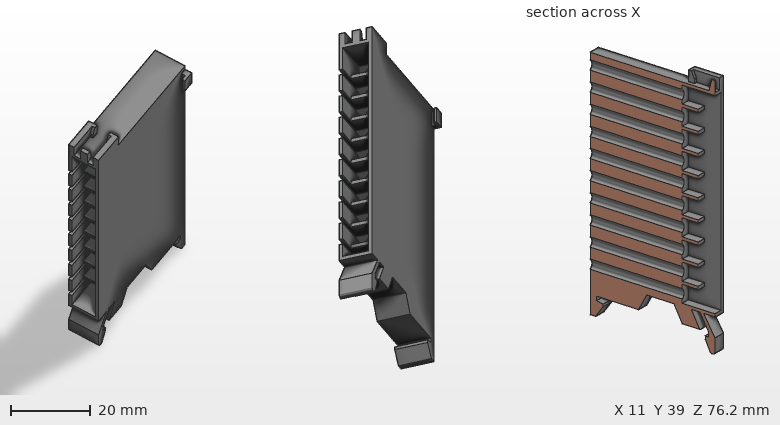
import cadquery as cq
import math

height = 76.2
depth = 39.0
width = 9.0
wall = 1.0

body_bottom = 10.5
rail_foot_bottom = 5.7
cheek_height = 3.3
shelf_top = height - cheek_height

cell_count = 10
pocket_top = shelf_top - wall
pocket_bottom = body_bottom + wall
cell_depth = 10.2
rib_thickness = 1.0
rib_setback = 5.2
cell_pitch = (pocket_top - pocket_bottom + rib_thickness) / cell_count
cell_height = cell_pitch - rib_thickness
hole_diameter = 3.4
slot_height = 1.5

cheek_depth = 9.0
cheek_thickness = 1.65
lip_reach = 0.85
lip_front_top = 8.1
lip_front_bottom = 7.2
lip_slope_drop = 2.15
prong_start = 3.55
prong_end = 5.65
prong_thickness = 1.1
prong_base = 2.0

latch_reach = 2.0
latch_top = 71.5
latch_bottom = 67.4
latch_arm = 1.65
latch_length = 3.1
latch_finger = 0.9
latch_chamfer = 0.3
recess_height = 5.0
recess_top = pocket_top
recess_bottom = recess_top - recess_height

hook_inner = 36.9
hook_tip = 34.9
hook_toe = 37.3
hook_tip_low = 3.4
hook_tip_high = 4.15
hook_throat = 4.6
rear_foot_end = 23.9
rail_gap_rear = 21.3
rail_gap_front = 12.9
front_foot_rear = 10.3
front_foot_end = 4.7
front_foot_root = 7.3
spring_root_rear = 4.8
spring_root_front = 3.5
spring_neck = 2.1
spring_neck_top = 5.8
spring_catch = 3.1
spring_catch_top = 4.5
spring_catch_low = 3.4
spring_bend = 4.8
spring_toe_radius = 0.9


def box(x0, x1, y0, y1, z0, z1):
    """Block between the given limits on each axis."""
    return cq.Workplane("XY").box(x1 - x0, y1 - y0, z1 - z0, centered=False).translate((x0, y0, z0))


def extrude_yz(points, x0, x1):
    """Prism along X with the given (Y, Z) outline."""
    return cq.Workplane("YZ").workplane(offset=x0).polyline(points).close().extrude(x1 - x0)


def make_profile():
    """Side outline with the rail hook, feet and spring clip."""
    toe = spring_toe_radius
    catch_y = spring_catch - toe
    catch_z = spring_catch_low - toe
    tangent_angle = math.atan2(catch_z, catch_y) - math.acos(toe / math.hypot(catch_y, catch_z))
    toe_start = (toe + toe * math.cos(tangent_angle), toe + toe * math.sin(tangent_angle))
    return (
        cq.Workplane("YZ")
        .moveTo(0, shelf_top)
        .lineTo(depth, shelf_top)
        .lineTo(depth, 0)
        .lineTo(hook_toe, 0)
        .lineTo(hook_tip, hook_tip_low)
        .lineTo(hook_tip, hook_tip_high)
        .lineTo(hook_inner, hook_throat)
        .lineTo(hook_inner, rail_foot_bottom)
        .lineTo(rear_foot_end, rail_foot_bottom)
        .lineTo(rail_gap_rear, body_bottom)
        .lineTo(rail_gap_front, body_bottom)
        .lineTo(front_foot_rear, rail_foot_bottom)
        .lineTo(front_foot_end, rail_foot_bottom)
        .lineTo(front_foot_root, body_bottom)
        .lineTo(spring_root_rear, body_bottom)
        .lineTo(spring_neck, spring_neck_top)
        .lineTo(spring_neck, spring_catch_top)
        .lineTo(spring_catch, spring_catch_top)
        .lineTo(spring_catch, spring_catch_low)
        .lineTo(*toe_start)
        .threePointArc((toe, 0), (0, toe))
        .lineTo(0, spring_bend)
        .lineTo(spring_root_front, body_bottom)
        .lineTo(0, body_bottom)
        .close()
        .extrude(width)
    )


def make_cheek():
    """Left upstanding side wall; its rear end turns inward as a sloped lip."""
    lip_outline = [
        (cheek_depth, shelf_top),
        (cheek_depth, height),
        (lip_front_top, height),
        (lip_front_bottom, height - lip_slope_drop),
        (lip_front_bottom, shelf_top),
    ]
    lip = extrude_yz(lip_outline, 0, cheek_thickness + lip_reach)
    return box(0, cheek_thickness, 0, cheek_depth, shelf_top, height).union(lip)


def make_prong():
    """Centre prong, thicker towards its base."""
    outline = [
        (0, shelf_top),
        (0, height),
        (prong_thickness, height),
        (prong_base, shelf_top),
    ]
    return extrude_yz(outline, prong_start, prong_end)


def make_latch():
    """L-shaped latch on the +X side, its finger pointing to the front."""
    x_tip = width + latch_reach
    x_finger = x_tip - latch_finger
    y_arm = depth - latch_arm
    y_tip = depth - latch_length
    return (
        cq.Workplane("XY")
        .workplane(offset=latch_bottom)
        .moveTo(width, depth)
        .lineTo(x_tip, depth)
        .lineTo(x_tip, y_tip)
        .lineTo(x_finger + latch_chamfer, y_tip)
        .lineTo(x_finger, y_tip + latch_chamfer)
        .lineTo(x_finger, y_arm)
        .lineTo(width, y_arm)
        .close()
        .extrude(latch_top - latch_bottom)
    )


def cut_cells(body):
    """Front pocket split by set-back ribs, with a wire hole per cell and a slot under each rib."""
    body = body.cut(box(wall, width - wall, 0, cell_depth, pocket_bottom, pocket_top))
    for i in range(cell_count):
        cell_top = pocket_top - i * cell_pitch
        hole = (
            cq.Workplane("XZ")
            .center(width / 2, cell_top - cell_height / 2)
            .circle(hole_diameter / 2)
            .extrude(-depth)
        )
        body = body.cut(hole)
        if i > 0:
            rib_top = cell_top + rib_thickness
            body = body.union(box(wall, width - wall, rib_setback, cell_depth, cell_top, rib_top))
            body = body.cut(box(0, wall, 0, cell_depth, cell_top - slot_height, cell_top))
    return body


body = make_profile()
left_cheek = make_cheek()
right_cheek = left_cheek.mirror("YZ", (width / 2, 0, 0))
body = body.union(left_cheek).union(right_cheek)
body = body.union(make_prong())
body = cut_cells(body)
body = body.cut(box(0, latch_reach, depth - latch_arm, depth, recess_bottom, recess_top))
result = body.union(make_latch())